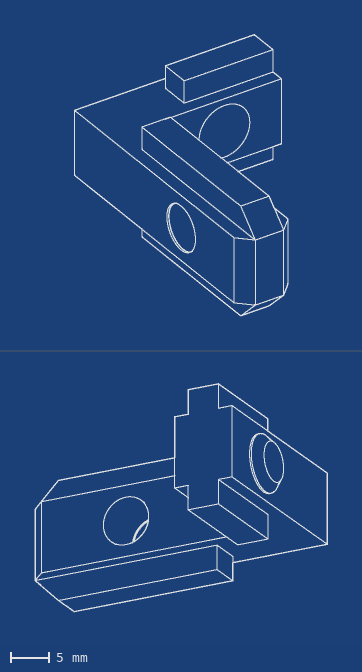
import cadquery as cq

total_x = 41.5
screw_protrusion = 1.5
long_arm_length = total_x - screw_protrusion
short_arm_length = 27.0
total_height = 17.0

arm_width = 8.5
arm_height = 10.1

rail_width = 4.5
rail_start = 13.0
rail_height = (total_height - arm_height) / 2
rail_inset = (arm_width - rail_width) / 2

hole_diameter = 6.72
hole_mouth_diameter = 6.8
hole_mouth_depth = 0.3
hole_mouth_x = 25.4
hole_x = 25.45
screw_diameter = 8.0
screw_y = 18.0
screw_chamfer = 1.25


def make_arms():
    """L-shaped plate with the free end of the long arm bevelled down to the rail width."""
    long_arm = (
        cq.Workplane("XY")
        .box(long_arm_length, arm_width, arm_height, centered=(False, False, True))
        .edges("|Z and >X")
        .chamfer(rail_inset)
    )
    short_arm = cq.Workplane("XY").box(
        arm_width, short_arm_length, arm_height, centered=(False, False, True)
    )
    return long_arm.union(short_arm)


def make_long_rail():
    """Full-height bar along the long arm, sloped at its end down to the arm faces."""
    return (
        cq.Workplane("XY")
        .box(long_arm_length - rail_start, rail_width, total_height, centered=(False, False, True))
        .edges("|Y and >X")
        .chamfer(rail_height)
        .translate((rail_start, rail_inset, 0))
    )


def make_short_rail():
    """Full-height bar along the short arm, square at both ends."""
    return (
        cq.Workplane("XY")
        .box(rail_width, short_arm_length - rail_start, total_height, centered=(False, False, True))
        .translate((rail_inset, rail_start, 0))
    )


def make_open_hole():
    """Cutter for the hole through the long arm, with a shallow, slightly wider and offset mouth."""
    outer_face = cq.Workplane("XZ")
    bore = outer_face.center(hole_x, 0).circle(hole_diameter / 2).extrude(-arm_width)
    mouth = (
        outer_face.center(hole_mouth_x, 0)
        .circle(hole_mouth_diameter / 2)
        .extrude(-hole_mouth_depth)
    )
    return bore.union(mouth)


def make_screw():
    """Set screw through the short arm, its chamfered end standing out of the outer face."""
    return (
        cq.Workplane("YZ", origin=(-screw_protrusion, screw_y, 0))
        .circle(screw_diameter / 2)
        .extrude(screw_protrusion + arm_width)
        .faces("<X")
        .chamfer(screw_chamfer)
    )


def make_bracket(fitted_screw):
    """L bracket with rails, an open hole and a hole that matches the fitted screw."""
    return (
        make_arms()
        .union(make_long_rail())
        .union(make_short_rail())
        .cut(make_open_hole())
        .cut(fitted_screw)
    )


screw = make_screw()
bracket = make_bracket(screw)

result = cq.Compound.makeCompound([bracket.solids().val(), screw.val()])